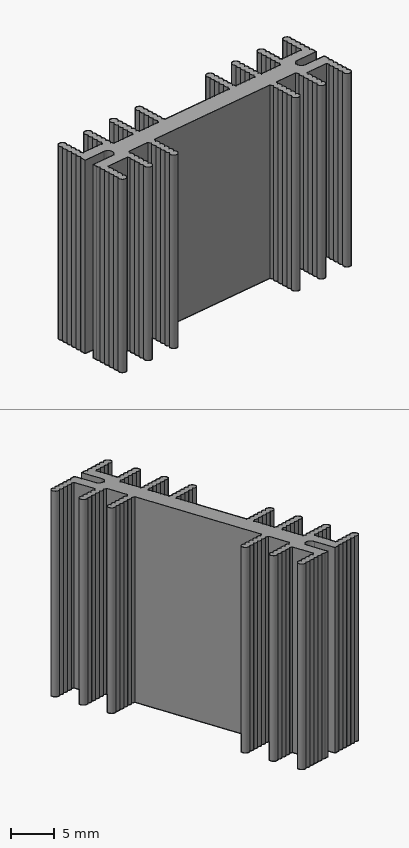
import cadquery as cq

width = 11.0
length = 35.95
height = 25.5

web_thickness = 2.5
end_block_width = 4.2
slot_width = 1.33
slot_depth = 3.6

fin_thickness = 1.0
fin_pitch = 4.0
left_fins_per_end = 4
right_fins_per_end = 3
bump_spacings = 5

bump_radius = fin_thickness / 2
web_face = web_thickness / 2
tip_bump_x = width / 2 - bump_radius
bump_pitch = (tip_bump_x - web_face) / bump_spacings
valley_half_thickness = (bump_radius**2 - (bump_pitch / 2) ** 2) ** 0.5
outer_fin_y = length / 2 - bump_radius


def prism(profile):
    """Extrude a closed XY profile over the full height."""
    return profile.extrude(height)


def make_fin(side, fin_y):
    """Rippled fin on one side (+1 or -1 in X), rooted at the middle of the web."""
    root_arc_x = web_face + bump_pitch / 4
    root_arc_y = (bump_radius**2 - (bump_pitch / 4) ** 2) ** 0.5

    def point(x, y):
        return (side * x, fin_y + y)

    profile = cq.Workplane("XY").moveTo(*point(0, -bump_radius)).lineTo(*point(web_face, -bump_radius))

    for i in range(bump_spacings):
        bump_x = web_face + i * bump_pitch
        valley = point(bump_x + bump_pitch / 2, -valley_half_thickness)
        if i == 0:
            profile = profile.threePointArc(point(root_arc_x, -root_arc_y), valley)
        else:
            profile = profile.threePointArc(point(bump_x, -bump_radius), valley)

    last_valley_x = tip_bump_x - bump_pitch / 2
    profile = profile.threePointArc(point(width / 2, 0), point(last_valley_x, valley_half_thickness))

    for i in range(bump_spacings - 1, 0, -1):
        bump_x = web_face + i * bump_pitch
        valley = point(bump_x - bump_pitch / 2, valley_half_thickness)
        profile = profile.threePointArc(point(bump_x, bump_radius), valley)
    profile = profile.threePointArc(point(root_arc_x, root_arc_y), point(web_face, bump_radius))
    return prism(profile.lineTo(*point(0, bump_radius)).close())


def make_end_block(end):
    """Thick block between the centre lines of the two outermost fins at one end."""
    block_y = end * (outer_fin_y - fin_pitch / 2)
    return prism(cq.Workplane("XY").center(0, block_y).rect(end_block_width, fin_pitch))


def make_slot(end):
    """Round-bottomed slot, open at one end of the web."""
    slot_radius = slot_width / 2
    end_y = end * length / 2
    arc_y = end_y - end * (slot_depth - slot_radius)
    bottom_y = end_y - end * slot_depth
    return prism(
        cq.Workplane("XY")
        .moveTo(-slot_radius, end_y)
        .lineTo(-slot_radius, arc_y)
        .threePointArc((0, bottom_y), (slot_radius, arc_y))
        .lineTo(slot_radius, end_y)
        .close()
    )


result = prism(cq.Workplane("XY").rect(web_thickness, length))

for end in (-1, 1):
    result = result.union(make_end_block(end))
    for side, fin_count in ((-1, left_fins_per_end), (1, right_fins_per_end)):
        for i in range(fin_count):
            result = result.union(make_fin(side, end * (outer_fin_y - i * fin_pitch)))

for end in (-1, 1):
    result = result.cut(make_slot(end))

result = result.clean()